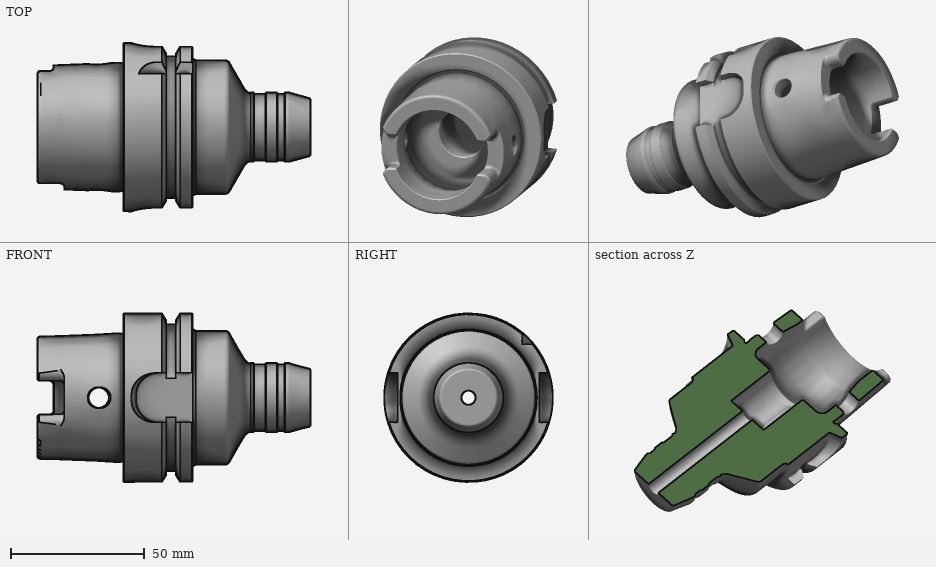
import cadquery as cq
import math


SHANK_LENGTH = 32.0
SHANK_TIP_RADIUS = 22.95
SHANK_BASE_RADIUS = 24.1
SHANK_TIP_FILLET = 1.2
TAPER_END_X = -2.2
RELIEF_START_X = -1.4
RELIEF_END_X = -0.6
RELIEF_DEPTH = 0.15
FACE_GROOVE_RADIUS = 25.4
FACE_GROOVE_DEPTH = 0.6

FLANGE_RADIUS = 31.5
FLANGE_WIDTH = 26.0
FLANGE_EDGE_CHAMFER = 0.4
GROOVE_CENTRE_X = 17.9
GROOVE_MOUTH_WIDTH = 6.8
GROOVE_FLOOR_WIDTH = 3.6
GROOVE_SHOULDER_RADIUS = 28.9
GROOVE_FLOOR_RADIUS = 27.5

BODY_RADIUS = 25.0
BODY_ROOT_STEP = 0.6
BODY_ROOT_LENGTH = 1.2
CONE_ANGLE = math.radians(60)
CONE_START_X = 39.1
CONE_TOP_FILLET = 2.0
CONE_ROOT_FILLET = 4.0

SPIGOT_END_X = 70.0
NECK_RADIUS = 12.5
RIB_RADIUS = 13.0
RIB_CHAMFER = 0.4
FIRST_RIB = (47.6, 48.9)
MIDDLE_RIB = (53.1, 57.7)
LAST_RIB = (60.1, 61.8)
SPIGOT_END_RADIUS = 11.0
SPIGOT_END_FILLET = 1.0

BORE_RADIUS = 17.0
BORE_EDGE_CHAMFER = 0.35
BORE_LENGTH = 12.93
CLAMP_CAVITY_RADIUS = 19.0
CLAMP_CONE_ANGLE = math.radians(10)
CAVITY_FLOOR_X = 2.0
CAVITY_FLOOR_FILLET = 3.1
COOLANT_SOCKET_RADIUS = 8.8
COOLANT_SOCKET_CHAMFER = 0.4
COOLANT_SOCKET_DEPTH = 20.0
COOLANT_HOLE_RADIUS = 2.6

TIP_SLOT_HALF_WIDTH = 6.25
TIP_SLOT_DEPTHS = {-1: 10.0, 1: 6.0}
TIP_SLOT_FLARE_RADIUS = 3.0
TIP_SLOT_FLARE_Y = 18.0
TIP_SLOT_FLARE_END_ANGLE = math.radians(28)
TIP_SLOT_RUNOUT = 8.0
TIP_SLOT_END_FILLET = 1.5
TIP_SLOT_MOUTH_CHAMFER = 0.65

CROSS_HOLE_X = -9.1
CROSS_HOLE_RADIUS = 3.75
CROSS_HOLE_COUNTERSINK_Y = 23.25
CROSS_HOLE_MOUTH_Y = SHANK_BASE_RADIUS + 0.5

FLANGE_SLOT_HALF_WIDTH = 9.25
FLANGE_SLOT_FLOOR_Y = 26.5
FLANGE_SLOT_FLOOR_START_X = 4.9
FLANGE_SLOT_OUTER_START_X = 3.1
FLANGE_SLOT_CORNER_RADIUS = 8.0

NOTCH_WALL_Y = 20.0
NOTCH_FLOOR_Z = 20.0
NOTCH_RAMP_RADIUS = 8.0
NOTCH_RAMP_END_X = 12.9

TIP_X = -SHANK_LENGTH
CLEARANCE = 5.0
TOLERANCE = 1e-3


def revolve_about_x(outline):
    return outline.close().revolve(360, (0, 0, 0), (1, 0, 0))


def make_body():
    groove_left = GROOVE_CENTRE_X - GROOVE_MOUTH_WIDTH / 2
    groove_right = GROOVE_CENTRE_X + GROOVE_MOUTH_WIDTH / 2
    floor_left = GROOVE_CENTRE_X - GROOVE_FLOOR_WIDTH / 2
    floor_right = GROOVE_CENTRE_X + GROOVE_FLOOR_WIDTH / 2
    relief_radius = SHANK_BASE_RADIUS - RELIEF_DEPTH
    flange_edge_radius = FLANGE_RADIUS - FLANGE_EDGE_CHAMFER

    outline = (
        cq.Workplane("XY")
        .moveTo(TIP_X, 0)
        .lineTo(TIP_X, SHANK_TIP_RADIUS - SHANK_TIP_FILLET)
        .radiusArc((TIP_X + SHANK_TIP_FILLET, SHANK_TIP_RADIUS), SHANK_TIP_FILLET)
        .lineTo(TAPER_END_X, SHANK_BASE_RADIUS)
        .lineTo(RELIEF_START_X, SHANK_BASE_RADIUS)
        .lineTo(RELIEF_END_X, relief_radius)
        .lineTo(FACE_GROOVE_DEPTH, relief_radius)
        .lineTo(FACE_GROOVE_DEPTH, FACE_GROOVE_RADIUS - FACE_GROOVE_DEPTH)
        .lineTo(0, FACE_GROOVE_RADIUS)
        .lineTo(0, flange_edge_radius)
        .lineTo(FLANGE_EDGE_CHAMFER, FLANGE_RADIUS)
        .lineTo(groove_left, FLANGE_RADIUS)
        .lineTo(floor_left, GROOVE_SHOULDER_RADIUS)
        .lineTo(floor_left, GROOVE_FLOOR_RADIUS)
        .lineTo(floor_right, GROOVE_FLOOR_RADIUS)
        .lineTo(floor_right, GROOVE_SHOULDER_RADIUS)
        .lineTo(groove_right, FLANGE_RADIUS)
        .lineTo(FLANGE_WIDTH - FLANGE_EDGE_CHAMFER, FLANGE_RADIUS)
        .lineTo(FLANGE_WIDTH, flange_edge_radius)
        .lineTo(FLANGE_WIDTH, BODY_RADIUS + BODY_ROOT_STEP)
        .lineTo(FLANGE_WIDTH + BODY_ROOT_LENGTH, BODY_RADIUS)
    )
    return revolve_about_x(add_spigot_outline(outline))


def add_spigot_outline(outline):
    """Continue the outline along the body, the end cone and the ribbed spigot."""
    corner_offset = CONE_TOP_FILLET * math.tan(CONE_ANGLE / 2)
    cone_end_x = CONE_START_X + (BODY_RADIUS - NECK_RADIUS) / math.tan(CONE_ANGLE)
    root_offset = CONE_ROOT_FILLET * math.tan(CONE_ANGLE / 2)
    along = math.cos(CONE_ANGLE)
    inward = math.sin(CONE_ANGLE)

    first_start_x, first_end_x = FIRST_RIB
    distance_to_fillet_centre = cone_end_x + root_offset - first_start_x
    fillet_drop = math.sqrt(CONE_ROOT_FILLET**2 - distance_to_fillet_centre**2)
    root_end_radius = NECK_RADIUS + CONE_ROOT_FILLET - fillet_drop

    middle_start_x, middle_end_x = MIDDLE_RIB
    last_start_x, last_end_x = LAST_RIB
    chamfered_radius = RIB_RADIUS - RIB_CHAMFER
    return (
        outline.lineTo(CONE_START_X - corner_offset, BODY_RADIUS)
        .radiusArc(
            (CONE_START_X + corner_offset * along, BODY_RADIUS - corner_offset * inward),
            CONE_TOP_FILLET,
        )
        .lineTo(cone_end_x - root_offset * along, NECK_RADIUS + root_offset * inward)
        .radiusArc((first_start_x, root_end_radius), -CONE_ROOT_FILLET)
        .lineTo(first_start_x, RIB_RADIUS)
        .lineTo(first_end_x - RIB_CHAMFER, RIB_RADIUS)
        .lineTo(first_end_x, chamfered_radius)
        .lineTo(first_end_x, NECK_RADIUS)
        .lineTo(middle_start_x, NECK_RADIUS)
        .lineTo(middle_start_x, chamfered_radius)
        .lineTo(middle_start_x + RIB_CHAMFER, RIB_RADIUS)
        .lineTo(middle_end_x - RIB_CHAMFER, RIB_RADIUS)
        .lineTo(middle_end_x, chamfered_radius)
        .lineTo(middle_end_x, NECK_RADIUS)
        .lineTo(last_start_x, NECK_RADIUS)
        .lineTo(last_start_x, chamfered_radius)
        .lineTo(last_start_x + RIB_CHAMFER, RIB_RADIUS)
        .lineTo(last_end_x, RIB_RADIUS)
        .lineTo(SPIGOT_END_X - SPIGOT_END_FILLET, SPIGOT_END_RADIUS)
        .radiusArc((SPIGOT_END_X, SPIGOT_END_RADIUS - SPIGOT_END_FILLET), SPIGOT_END_FILLET)
        .lineTo(SPIGOT_END_X, 0)
    )


def make_bore():
    bore_end_x = TIP_X + BORE_LENGTH
    cavity_start_x = bore_end_x + (CLAMP_CAVITY_RADIUS - BORE_RADIUS) / math.tan(CLAMP_CONE_ANGLE)
    socket_end_x = CAVITY_FLOOR_X + COOLANT_SOCKET_DEPTH
    outline = (
        cq.Workplane("XY")
        .moveTo(TIP_X, 0)
        .lineTo(TIP_X, BORE_RADIUS)
        .lineTo(bore_end_x, BORE_RADIUS)
        .lineTo(cavity_start_x, CLAMP_CAVITY_RADIUS)
        .lineTo(CAVITY_FLOOR_X - CAVITY_FLOOR_FILLET, CLAMP_CAVITY_RADIUS)
        .radiusArc(
            (CAVITY_FLOOR_X, CLAMP_CAVITY_RADIUS - CAVITY_FLOOR_FILLET), CAVITY_FLOOR_FILLET
        )
        .lineTo(CAVITY_FLOOR_X, COOLANT_SOCKET_RADIUS + COOLANT_SOCKET_CHAMFER)
        .lineTo(CAVITY_FLOOR_X + COOLANT_SOCKET_CHAMFER, COOLANT_SOCKET_RADIUS)
        .lineTo(socket_end_x, COOLANT_SOCKET_RADIUS)
        .lineTo(socket_end_x, COOLANT_HOLE_RADIUS)
        .lineTo(SPIGOT_END_X, COOLANT_HOLE_RADIUS)
        .lineTo(SPIGOT_END_X, 0)
    )
    return revolve_about_x(outline)


def tip_slot_profile(plane_x):
    """Profile of the +Y tip slot: flat walls that flare open around the outer edge of the shank."""
    flare_z = TIP_SLOT_HALF_WIDTH + TIP_SLOT_FLARE_RADIUS
    cos_end = math.cos(TIP_SLOT_FLARE_END_ANGLE)
    sin_end = math.sin(TIP_SLOT_FLARE_END_ANGLE)
    flare_middle_y = TIP_SLOT_FLARE_Y + TIP_SLOT_FLARE_RADIUS
    flare_end_y = TIP_SLOT_FLARE_Y + TIP_SLOT_FLARE_RADIUS * cos_end
    flare_end_z = flare_z + TIP_SLOT_FLARE_RADIUS * sin_end
    runout_y = flare_end_y - TIP_SLOT_RUNOUT * sin_end
    runout_z = flare_end_z + TIP_SLOT_RUNOUT * cos_end
    outer_y = SHANK_BASE_RADIUS + CLEARANCE
    return (
        cq.Workplane("YZ", origin=(plane_x, 0, 0))
        .moveTo(0, TIP_SLOT_HALF_WIDTH)
        .lineTo(TIP_SLOT_FLARE_Y, TIP_SLOT_HALF_WIDTH)
        .threePointArc((flare_middle_y, flare_z), (flare_end_y, flare_end_z))
        .lineTo(runout_y, runout_z)
        .lineTo(outer_y, runout_z)
        .lineTo(outer_y, -runout_z)
        .lineTo(runout_y, -runout_z)
        .lineTo(flare_end_y, -flare_end_z)
        .threePointArc((flare_middle_y, -flare_z), (TIP_SLOT_FLARE_Y, -TIP_SLOT_HALF_WIDTH))
        .lineTo(0, -TIP_SLOT_HALF_WIDTH)
        .close()
    )


def make_tip_slot(side):
    """Drive slot with a filleted end and a 45 degree chamfer where its walls meet the tip face."""
    slot = (
        tip_slot_profile(TIP_X)
        .extrude(TIP_SLOT_DEPTHS[side])
        .faces(">X")
        .edges("not(<Y or >Y or <Z or >Z)")
        .fillet(TIP_SLOT_END_FILLET)
    )
    mouth = tip_slot_profile(TIP_X + TIP_SLOT_MOUTH_CHAMFER).extrude(-TIP_SLOT_MOUTH_CHAMFER, taper=-45)
    slot = slot.union(mouth)
    return slot if side > 0 else slot.mirror("XZ")


def lies_on_bore(edge):
    ends = (edge.startPoint(), edge.endPoint())
    return all(abs(math.hypot(end.y, end.z) - BORE_RADIUS) < TOLERANCE for end in ends)


def chamfer_bore_rim(part):
    """Break every edge where the bore meets the tip face and the tip slots."""
    slot_end_x = TIP_X + max(TIP_SLOT_DEPTHS.values())
    rim_edges = [
        edge
        for edge in part.edges().vals()
        if edge.BoundingBox().xmax < slot_end_x + TOLERANCE and lies_on_bore(edge)
    ]
    return part.newObject(rim_edges).chamfer(BORE_EDGE_CHAMFER)


def make_cross_hole():
    """Hole along Y through both shank walls, with a 45 degree countersink at each mouth."""
    mouth_radius = CROSS_HOLE_RADIUS + CROSS_HOLE_MOUTH_Y - CROSS_HOLE_COUNTERSINK_Y
    half_hole = (
        cq.Workplane("XY")
        .moveTo(CROSS_HOLE_X, 0)
        .lineTo(CROSS_HOLE_X + CROSS_HOLE_RADIUS, 0)
        .lineTo(CROSS_HOLE_X + CROSS_HOLE_RADIUS, CROSS_HOLE_COUNTERSINK_Y)
        .lineTo(CROSS_HOLE_X + mouth_radius, CROSS_HOLE_MOUTH_Y)
        .lineTo(CROSS_HOLE_X, CROSS_HOLE_MOUTH_Y)
        .close()
        .revolve(360, (CROSS_HOLE_X, 0, 0), (CROSS_HOLE_X, 1, 0))
    )
    return half_hole.union(half_hole.mirror("XZ"))


def make_flange_slot(side):
    """Flat-floored slot open to +X, with a sloping end wall and rounded end corners."""
    run = FLANGE_SLOT_FLOOR_START_X - FLANGE_SLOT_OUTER_START_X
    slope = run / (FLANGE_RADIUS - FLANGE_SLOT_FLOOR_Y)
    outer_y = FLANGE_RADIUS + CLEARANCE
    outer_x = FLANGE_SLOT_OUTER_START_X - slope * CLEARANCE
    return (
        cq.Workplane("XY")
        .moveTo(FLANGE_SLOT_FLOOR_START_X, side * FLANGE_SLOT_FLOOR_Y)
        .lineTo(outer_x, side * outer_y)
        .lineTo(FLANGE_WIDTH, side * outer_y)
        .lineTo(FLANGE_WIDTH, side * FLANGE_SLOT_FLOOR_Y)
        .close()
        .extrude(FLANGE_SLOT_HALF_WIDTH, both=True)
        .faces("<X")
        .edges("not(|Z or |X)")
        .fillet(FLANGE_SLOT_CORNER_RADIUS)
    )


def make_orientation_notch():
    """Right-angled notch whose floor ramps up along a cutter arc toward the shank."""
    height = FLANGE_RADIUS - NOTCH_FLOOR_Z
    width = FLANGE_RADIUS - NOTCH_WALL_Y
    ramp = (
        cq.Workplane("XZ", origin=(0, NOTCH_WALL_Y, 0))
        .center(NOTCH_RAMP_END_X, NOTCH_FLOOR_Z + NOTCH_RAMP_RADIUS)
        .circle(NOTCH_RAMP_RADIUS)
        .extrude(-width)
    )
    run = cq.Workplane("XY").box(FLANGE_WIDTH - NOTCH_RAMP_END_X, width, height, centered=False)
    return run.translate((NOTCH_RAMP_END_X, NOTCH_WALL_Y, NOTCH_FLOOR_Z)).union(ramp)


result = make_body().cut(make_bore())
for slot_side in TIP_SLOT_DEPTHS:
    result = result.cut(make_tip_slot(slot_side))
result = chamfer_bore_rim(result)
result = result.cut(make_cross_hole()).cut(make_orientation_notch())
for slot_side in TIP_SLOT_DEPTHS:
    result = result.cut(make_flange_slot(slot_side))